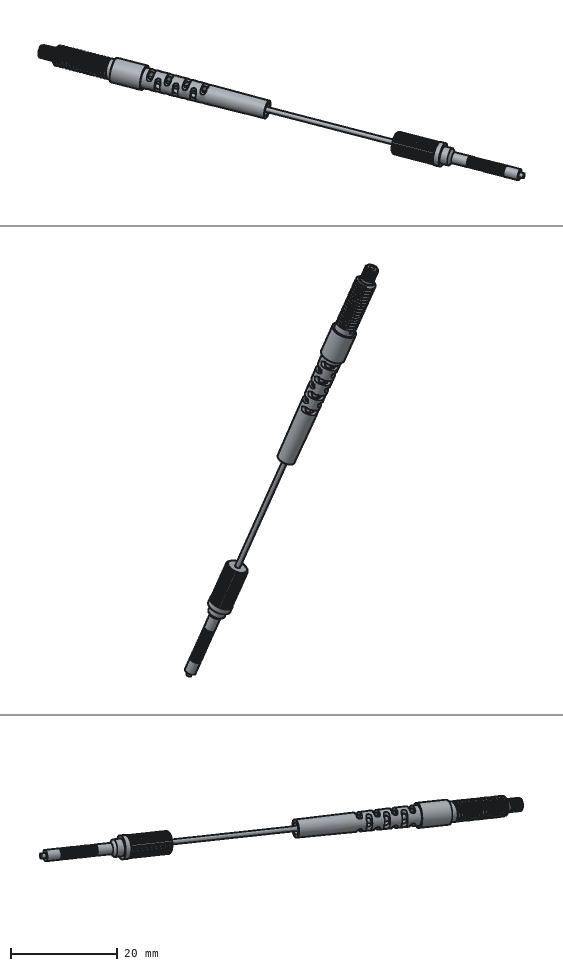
import cadquery as cq


cable_radius = 0.5
overall_length = 98.0

tip_thread_radius = 1.3
tip_thread_pitch = 0.45
tip_thread_end = 2.6
tip_shoulder_x = 3.1
tip_chamfer = 0.25
shank_thread_radius = 2.0
shank_thread_pitch = 0.7
shank_chamfer = 0.45
shank_thread_end = 14.0
collar_start_x = 15.0
collar_end_x = 21.1
collar_radius = 2.4

groove_depth_ratio = 0.55
groove_mouth_ratio = 0.75
groove_root_ratio = 0.25
groove_overlap = 0.05

boot_end_x = 46.0
boot_start_radius = 2.0
boot_end_radius = 1.75
boot_wall = 0.55
slot_count = 7
slot_pitch = 1.8
first_slot_x = 22.65
slot_width = 1.1
slot_floor_offset = 1.0

grip_start_x = 71.9
grip_radius = 2.2
grip_chamfer = 0.3
flute_count = 18
flute_width = 0.4
flute_depth = 0.25
flute_end_x = 80.45
flange_radius = 2.3
flange_end_x = 81.6
ring_radius = 1.7
ring_end_x = 83.7
ferrule_radius = 1.1
ring_chamfer = ring_radius - ferrule_radius
ferrule_end_x = 97.1
ridge_start_x = 86.8
ridge_end_x = 94.3
ridge_count = 18
ridge_groove_depth = 0.08


def cylinder_x(start_x, end_x, radius):
    """Solid cylinder on the X axis."""
    return cq.Workplane("YZ", origin=(start_x, 0, 0)).circle(radius).extrude(end_x - start_x)


def revolve_about_x(points):
    """Solid of revolution about X from (x, radius) outline points."""
    return cq.Workplane("XY").polyline(points).close().revolve(360, (0, 0, 0), (1, 0, 0))


def thread_groove(start_x, end_x, radius, pitch):
    """Helical trapezoidal groove to cut from a shank of the given outer radius."""
    depth = groove_depth_ratio * pitch
    mouth_half = groove_mouth_ratio * pitch / 2
    root_half = groove_root_ratio * pitch / 2
    root_radius = radius - depth
    outer_radius = radius + groove_overlap
    outer_half = mouth_half + (mouth_half - root_half) * groove_overlap / depth
    helix = cq.Wire.makeHelix(pitch, end_x - start_x, root_radius)
    groove = (
        cq.Workplane("XZ")
        .polyline([
            (root_radius, -root_half),
            (root_radius, root_half),
            (outer_radius, outer_half),
            (outer_radius, -outer_half),
        ])
        .close()
        .sweep(cq.Workplane(helix), isFrenet=True)
    )
    return groove.rotate((0, 0, 0), (0, 1, 0), 90).translate((start_x, 0, 0))


def make_cable():
    return cylinder_x(0, overall_length, cable_radius)


def make_head():
    head = revolve_about_x([
        (0, cable_radius),
        (0, tip_thread_radius - tip_chamfer),
        (tip_chamfer, tip_thread_radius),
        (tip_shoulder_x, tip_thread_radius),
        (tip_shoulder_x, shank_thread_radius - shank_chamfer),
        (tip_shoulder_x + shank_chamfer, shank_thread_radius),
        (collar_start_x, shank_thread_radius),
        (collar_start_x, collar_radius),
        (collar_end_x, collar_radius),
        (collar_end_x, cable_radius),
    ])
    head = head.cut(
        thread_groove(0, tip_thread_end, tip_thread_radius, tip_thread_pitch)
    )
    shank_thread_start = tip_shoulder_x + shank_chamfer
    return head.cut(
        thread_groove(shank_thread_start, shank_thread_end, shank_thread_radius, shank_thread_pitch)
    )


def slot_pair(center_x, angle):
    """Two opposite round-bottomed slots, turned about X by the given angle."""
    half_width = slot_width / 2
    reach = 2 * boot_start_radius
    arc_z = slot_floor_offset + half_width
    slot = (
        cq.Workplane("XZ")
        .moveTo(center_x - half_width, reach)
        .lineTo(center_x - half_width, arc_z)
        .threePointArc((center_x, slot_floor_offset), (center_x + half_width, arc_z))
        .lineTo(center_x + half_width, reach)
        .close()
        .extrude(reach, both=True)
    )
    pair = slot.union(slot.rotate((0, 0, 0), (1, 0, 0), 180))
    return pair.rotate((0, 0, 0), (1, 0, 0), angle)


def make_boot():
    boot = revolve_about_x([
        (collar_end_x, boot_start_radius - boot_wall),
        (collar_end_x, boot_start_radius),
        (boot_end_x, boot_end_radius),
        (boot_end_x, boot_end_radius - boot_wall),
    ])
    for index in range(slot_count):
        boot = boot.cut(slot_pair(first_slot_x + index * slot_pitch, 90 * (index % 2)))
    return boot


def make_plug():
    plug = revolve_about_x([
        (grip_start_x, cable_radius),
        (grip_start_x, grip_radius - grip_chamfer),
        (grip_start_x + grip_chamfer, grip_radius),
        (flute_end_x, grip_radius),
        (flute_end_x, flange_radius),
        (flange_end_x, flange_radius),
        (flange_end_x, ring_radius),
        (ring_end_x - ring_chamfer, ring_radius),
        (ring_end_x, ferrule_radius),
        (ferrule_end_x, ferrule_radius),
        (ferrule_end_x, cable_radius),
    ])

    flutes = (
        cq.Workplane("YZ", origin=(grip_start_x, 0, 0))
        .polarArray(grip_radius, 0, 360, flute_count)
        .rect(2 * flute_depth, flute_width)
        .extrude(flute_end_x - grip_start_x)
    )
    plug = plug.cut(flutes)

    ridge_pitch = (ridge_end_x - ridge_start_x) / ridge_count
    root_radius = ferrule_radius - ridge_groove_depth
    for index in range(ridge_count):
        groove_x = ridge_start_x + index * ridge_pitch
        groove = revolve_about_x([
            (groove_x, ferrule_radius),
            (groove_x + ridge_pitch / 2, root_radius),
            (groove_x + ridge_pitch, ferrule_radius),
        ])
        plug = plug.cut(groove)
    return plug


cable = make_cable()
head = make_head()
boot = make_boot()
plug = make_plug()
result = cq.Compound.makeCompound([cable.val(), head.val(), boot.val(), plug.val()])